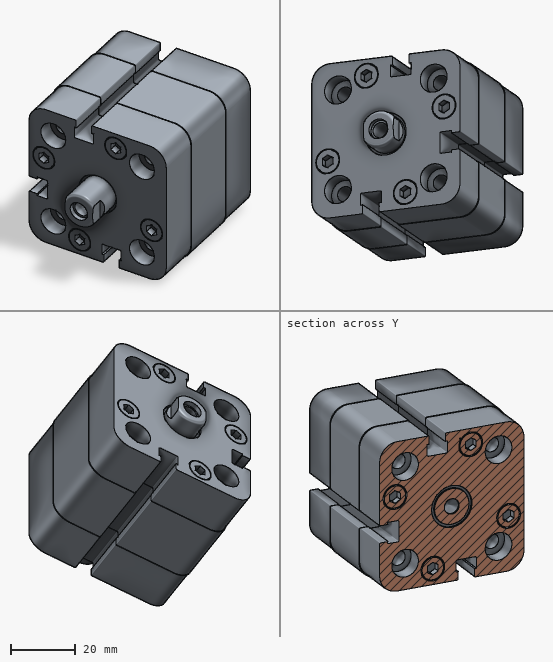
import cadquery as cq
import math

BARREL_SIDE = 50.1
CAP_STEP = 0.2
CAP_SIDE = BARREL_SIDE - 2 * CAP_STEP
CORNER_RADIUS = 6.1
FRONT_CAP_LENGTH = 14.4
BARREL_LENGTH = 20.5
BACK_CAP_LENGTH = 14.6

TOTAL_LENGTH = 66.5
FRONT_REACH = 11.05
ROD_FRONT = -TOTAL_LENGTH / 2
ROD_BACK = TOTAL_LENGTH / 2
BLOCK_FRONT = ROD_FRONT + FRONT_REACH
BARREL_FRONT = BLOCK_FRONT + FRONT_CAP_LENGTH
BARREL_BACK = BARREL_FRONT + BARREL_LENGTH
BLOCK_BACK = BARREL_BACK + BACK_CAP_LENGTH
ROD_DIAMETER = 12.0
ROD_END_RADIUS = 1.2
FLAT_WIDTH = 10.0
FLAT_LENGTH = 4.45
ROD_BORE_DIAMETER = 13.6
ROD_BORE_DEPTH = 1.0

TAP_MOUTH_DIAMETER = 6.25
TAP_MOUTH_DEPTH = 1.65
TAP_DIAMETER = 4.9
TAP_DEPTH = 12.0
TAP_POINT_LENGTH = 1.4

SLOT_OFFSET = 5.0
SLOT_NECK_WIDTH = 5.5
SLOT_WIDTH = 6.9
SLOT_NECK_DEPTH = 3.1
SLOT_DEPTH = 6.9
SLOT_LIP_RADIUS = 0.45
SLOT_FLOOR_RADIUS = 0.45
BARREL_SLOT_CLEARANCE = 0.05
SLOT_ANGLES = (0, 90, 180)

MOUNT_OFFSET = 16.0
MOUNT_DIAMETER = 4.9
MOUNT_BORE_DIAMETER = 9.0
MOUNT_BORE_DEPTH = 5.5

SCREW_NEAR_OFFSET = 6.5
SCREW_FAR_OFFSET = 19.5
SCREW_BORE_DIAMETER = 8.0
SCREW_HEAD_DIAMETER = 7.5
SCREW_GAP_DEPTH = 1.3
SOCKET_FLATS = 3.5
SOCKET_DEPTH = 2.65

Y_AXIS = cq.Vector(0, 1, 0)


def plane_at(y):
    """Sketch plane facing -Y, with local x along X and local y along Z."""
    return cq.Workplane("XZ", origin=(0, y, 0))


def turn(shape, angle):
    """Turn a shape about the Y axis, counterclockwise when looking along +Y."""
    return shape.rotate((0, 0, 0), (0, 1, 0), -angle)


def both_ends(y_front, y_back):
    """The two end positions, each with the direction that leads into the part."""
    return ((y_front, 1), (y_back, -1))


def disc(diameter, y, length, x=0, z=0):
    """Cylinder from y over a signed length along Y."""
    return plane_at(y).center(x, z).circle(diameter / 2).extrude(-length)


def rounded_block(side, y, length):
    return plane_at(y).rect(side, side).extrude(-length).edges("|Y").fillet(CORNER_RADIUS)


def block():
    front_cap = rounded_block(CAP_SIDE, BLOCK_FRONT, FRONT_CAP_LENGTH)
    barrel = rounded_block(BARREL_SIDE, BARREL_FRONT, BARREL_LENGTH)
    back_cap = rounded_block(CAP_SIDE, BARREL_BACK, BACK_CAP_LENGTH)
    return front_cap.union(barrel).union(back_cap)


def slot_cutter(side, y, length, clearance):
    """Top T-slot with rounded mouth edges, for one stretch of the block along Y."""
    top = side / 2
    floor = BARREL_SIDE / 2 - SLOT_DEPTH - clearance
    shoulder = BARREL_SIDE / 2 - SLOT_NECK_DEPTH + clearance
    neck_width = SLOT_NECK_WIDTH + 2 * clearance
    pocket_width = SLOT_WIDTH + 2 * clearance
    lip_radius = SLOT_LIP_RADIUS - clearance

    def box(width, z_low, z_high):
        middle = plane_at(y).center(-SLOT_OFFSET, (z_low + z_high) / 2)
        return middle.rect(width, z_high - z_low).extrude(-length)

    neck = box(neck_width, floor, top)
    pocket = box(pocket_width, floor, shoulder).edges("|Y and <Z").fillet(SLOT_FLOOR_RADIUS)
    half_mouth = neck_width / 2 + lip_radius
    mouth = box(2 * half_mouth, top - lip_radius, top)
    for x in (-SLOT_OFFSET - half_mouth, -SLOT_OFFSET + half_mouth):
        mouth = mouth.cut(disc(2 * lip_radius, y, length, x, top - lip_radius))
    return neck.union(pocket).union(mouth)


def slots():
    cutter = slot_cutter(CAP_SIDE, BLOCK_FRONT, FRONT_CAP_LENGTH, 0)
    cutter = cutter.union(slot_cutter(BARREL_SIDE, BARREL_FRONT, BARREL_LENGTH, BARREL_SLOT_CLEARANCE))
    cutter = cutter.union(slot_cutter(CAP_SIDE, BARREL_BACK, BACK_CAP_LENGTH, 0))
    return [turn(cutter, angle) for angle in SLOT_ANGLES]


def mounting_holes():
    cutters = []
    for x in (-MOUNT_OFFSET, MOUNT_OFFSET):
        for z in (-MOUNT_OFFSET, MOUNT_OFFSET):
            cutter = disc(MOUNT_DIAMETER, BLOCK_FRONT, BLOCK_BACK - BLOCK_FRONT, x, z)
            for y, inward in both_ends(BLOCK_FRONT, BLOCK_BACK):
                cutter = cutter.union(disc(MOUNT_BORE_DIAMETER, y, inward * MOUNT_BORE_DEPTH, x, z))
            cutters.append(cutter)
    return cutters


def screw_heads():
    """Gap ring and hexagon socket of each screw, at both ends of the block."""
    near, far = SCREW_NEAR_OFFSET, SCREW_FAR_OFFSET
    across_corners = SOCKET_FLATS / math.cos(math.pi / 6)
    cutters = []
    for y, inward in both_ends(BLOCK_FRONT, BLOCK_BACK):
        for x, z in ((near, far), (-far, near), (-near, -far), (far, -near)):
            gap = disc(SCREW_BORE_DIAMETER, y, inward * SCREW_GAP_DEPTH, x, z)
            cutters.append(gap.cut(disc(SCREW_HEAD_DIAMETER, y, inward * SCREW_GAP_DEPTH, x, z)))
            socket = plane_at(y).center(x, z).transformed(rotate=(0, 0, 90))
            cutters.append(socket.polygon(6, across_corners).extrude(-inward * SOCKET_DEPTH))
    return cutters


def rod_bores():
    return [
        disc(ROD_BORE_DIAMETER, y, inward * ROD_BORE_DEPTH)
        for y, inward in both_ends(BLOCK_FRONT, BLOCK_BACK)
    ]


def tapped_hole(y, inward):
    mouth = disc(TAP_MOUTH_DIAMETER, y, inward * TAP_MOUTH_DEPTH)
    bore = disc(TAP_DIAMETER, y, inward * TAP_DEPTH)
    point = cq.Solid.makeCone(
        TAP_DIAMETER / 2, 0, TAP_POINT_LENGTH, cq.Vector(0, y + inward * TAP_DEPTH, 0), Y_AXIS * inward
    )
    return mouth.union(bore).union(cq.Workplane(point))


def wrench_flat(y, inward, side):
    """Wedge that leaves a flat on one side of the rod end, run out at 45 degrees."""
    flat = side * FLAT_WIDTH / 2
    outside = side * ROD_DIAMETER / 2
    run_out = (ROD_DIAMETER - FLAT_WIDTH) / 2
    flat_end = y + inward * FLAT_LENGTH
    return (
        cq.Workplane("XY")
        .polyline([(flat, y), (outside, y), (outside, flat_end + inward * run_out), (flat, flat_end)])
        .close()
        .extrude(ROD_DIAMETER / 2, both=True)
    )


def rod():
    body = disc(ROD_DIAMETER, ROD_FRONT, TOTAL_LENGTH).faces("<Y or >Y").edges().fillet(ROD_END_RADIUS)
    for y, inward in both_ends(ROD_FRONT, ROD_BACK):
        for side in (-1, 1):
            body = body.cut(wrench_flat(y, inward, side))
    return body


result = block()
for cutter in slots() + mounting_holes() + screw_heads() + rod_bores():
    result = result.cut(cutter)

result = result.union(rod())
for rod_end, direction in both_ends(ROD_FRONT, ROD_BACK):
    result = result.cut(tapped_hole(rod_end, direction))